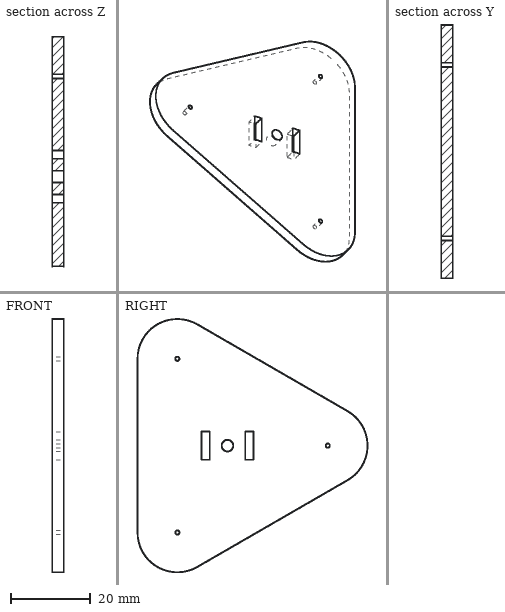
import cadquery as cq
import math

thickness = 3.0
corner_radius = 10.0
corner_spacing = 43.52
corner_distance = corner_spacing / math.sqrt(3)

corner_hole_diameter = 1.0
center_hole_diameter = 2.85
slot_width = 2.0
slot_height = 7.0
slot_offset = 5.5

corner_centers = [
    (corner_distance * math.cos(angle), corner_distance * math.sin(angle))
    for angle in (math.radians(degrees) for degrees in (0, 120, 240))
]
slot_centers = [(-slot_offset, 0), (slot_offset, 0)]


def make_plate():
    """Triangular plate, centered in thickness on the YZ plane."""
    sharp_scale = (corner_distance + 2 * corner_radius) / corner_distance
    sharp_corners = [(y * sharp_scale, z * sharp_scale) for y, z in corner_centers]
    return (
        cq.Workplane("YZ")
        .polyline(sharp_corners)
        .close()
        .extrude(thickness / 2, both=True)
        .edges("|X")
        .fillet(corner_radius)
    )


def cut_holes(body, diameter, centers):
    """Cut round holes through the plate at the given (Y, Z) centers."""
    holes = (
        cq.Workplane("YZ")
        .pushPoints(centers)
        .circle(diameter / 2)
        .extrude(thickness, both=True)
    )
    return body.cut(holes)


def cut_slots(body):
    """Cut the two upright rectangular slots beside the center hole."""
    slots = (
        cq.Workplane("YZ")
        .pushPoints(slot_centers)
        .rect(slot_width, slot_height)
        .extrude(thickness, both=True)
    )
    return body.cut(slots)


plate = make_plate()
plate = cut_holes(plate, corner_hole_diameter, corner_centers)
plate = cut_holes(plate, center_hole_diameter, [(0, 0)])
result = cut_slots(plate)